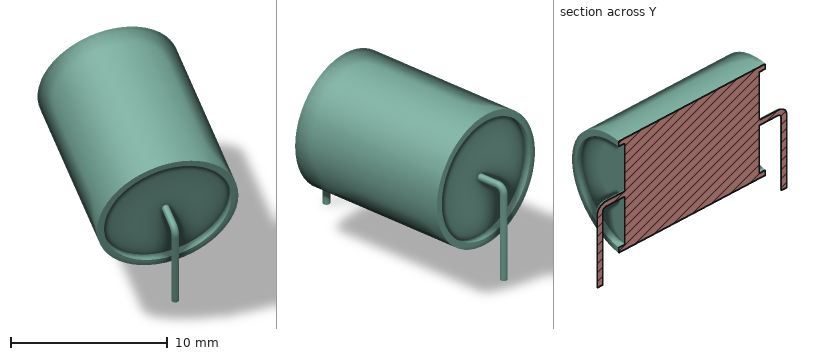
import cadquery as cq

overall_length = 15.5
body_diameter = 9.5
body_length = 12.0
overall_height = 11.5

recess_diameter = 8.55
recess_depth = 0.5

lead_diameter = 0.5
bend_radius = 0.5

lead_x = (overall_length - lead_diameter) / 2
lead_bottom = body_diameter / 2 - overall_height
recess_floor_x = body_length / 2 - recess_depth
lead_embed = 0.15


def make_body():
    """Cylinder centred on the origin, recessed at both ends."""
    end_plane = cq.Workplane("YZ", origin=(-body_length / 2, 0, 0))
    body = end_plane.circle(body_diameter / 2).extrude(body_length)
    for face in ("<X", ">X"):
        body = body.faces(face).workplane().circle(recess_diameter / 2).cutBlind(-recess_depth)
    return body


def make_lead():
    """Wire leaving the +X end along the axis, then bending down."""
    start_x = recess_floor_x - lead_embed
    path = (
        cq.Workplane("XZ")
        .moveTo(start_x, 0)
        .lineTo(lead_x - bend_radius, 0)
        .radiusArc((lead_x, -bend_radius), bend_radius)
        .lineTo(lead_x, lead_bottom)
    )
    return cq.Workplane("YZ", origin=(start_x, 0, 0)).circle(lead_diameter / 2).sweep(path)


lead = make_lead()
result = make_body().union(lead).union(lead.mirror("YZ"))